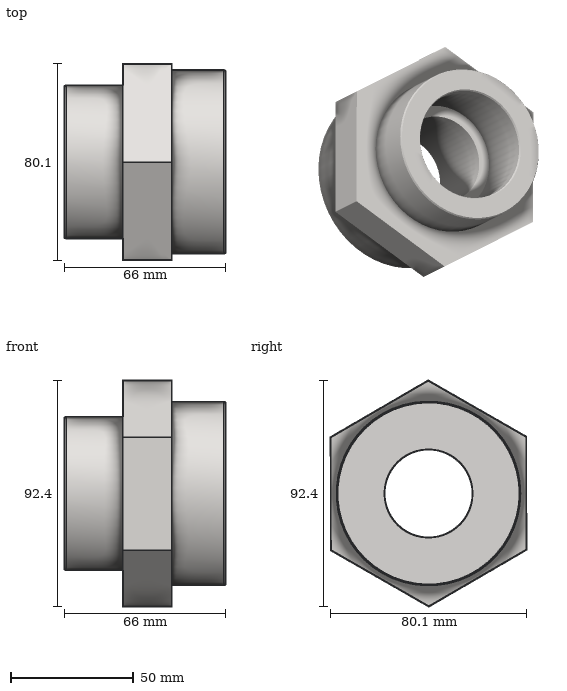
import cadquery as cq
import math

inlet_length = 24.0
collar_width = 20.0
outlet_length = 22.0
inlet_diameter = 62.78
outlet_diameter = 75.18

across_flats = 80.0
corner_count = 6
collar_turn = 0.17

socket_diameter = 44.84
socket_depth = 29.0
passage_diameter = 35.88

chamfer_length = 0.75
chamfer_angle = 30.0
chamfer_drop = chamfer_length * math.tan(math.radians(chamfer_angle))

across_corners = across_flats / math.cos(math.pi / corner_count)
outlet_start = inlet_length + collar_width
total_length = outlet_start + outlet_length


def round_body(root, mouth, diameter, mouth_radius):
    """Solid of revolution about X from root to mouth, with a conical band leading to the mouth."""
    radius = diameter / 2
    cone_start = mouth + math.copysign(chamfer_length, root - mouth)
    profile = [
        (root, 0),
        (root, radius),
        (cone_start, radius),
        (mouth, mouth_radius),
        (mouth, 0),
    ]
    return cq.Workplane("XY").polyline(profile).close().revolve(360, (0, 0, 0), (1, 0, 0))


def spigot(root, mouth, diameter):
    """Round end of the fitting, chamfered down around its end face."""
    return round_body(root, mouth, diameter, diameter / 2 - chamfer_drop)


def socket():
    """Wide bore cut from the inlet face, with a flared mouth."""
    return round_body(socket_depth, 0, socket_diameter, socket_diameter / 2 + chamfer_drop)


def passage():
    """Plain bore along the whole length."""
    return cq.Workplane("YZ").circle(passage_diameter / 2).extrude(total_length)


def hex_collar():
    """Hexagonal collar with one pair of opposite corners close to the Z direction."""
    collar = (
        cq.Workplane("YZ", origin=(inlet_length, 0, 0))
        .polygon(corner_count, across_corners)
        .extrude(collar_width)
    )
    return collar.rotate((0, 0, 0), (1, 0, 0), 90 + collar_turn)


inlet = spigot(inlet_length, 0, inlet_diameter)
outlet = spigot(outlet_start, total_length, outlet_diameter)

result = hex_collar().union(inlet).union(outlet).cut(socket()).cut(passage())